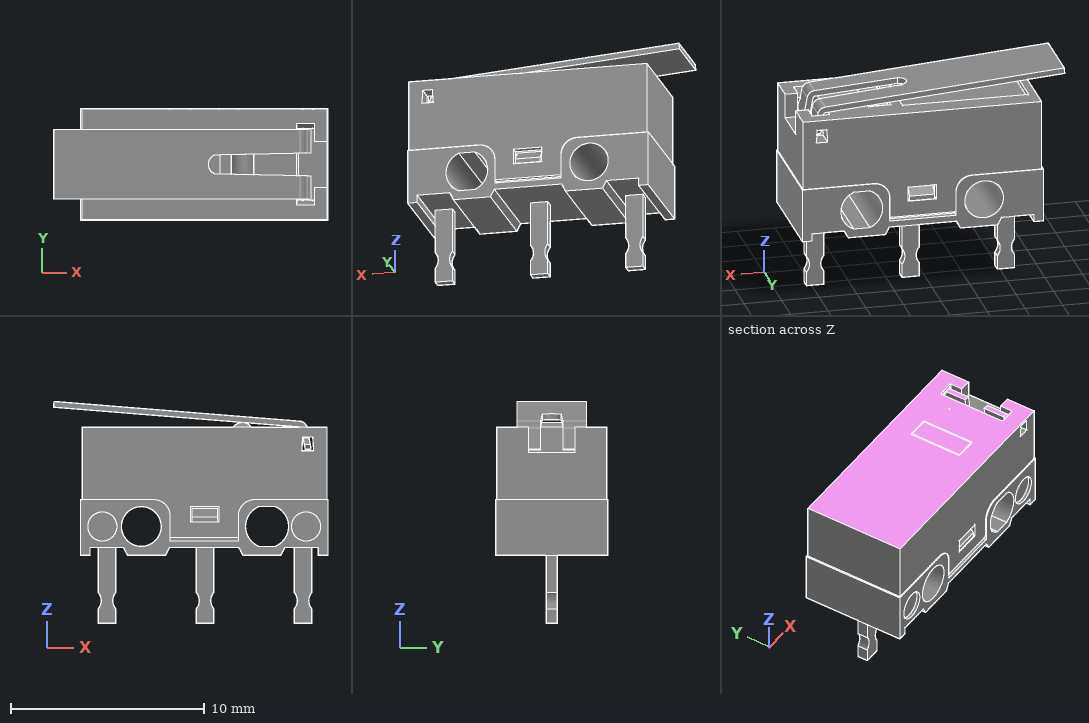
import cadquery as cq
import math


OVERALL_LENGTH = 14.21

BASE_LENGTH = 12.82
BASE_WIDTH = 5.8
BASE_TOP = 2.88
UNDERSIDE = 0.4
END_FOOT_LENGTH = 0.51
MIDDLE_FOOT_X = 2.98
MIDDLE_FOOT_TOP_LENGTH = 2.39
MIDDLE_FOOT_TIP_LENGTH = 1.98

OPENING_WIDTH = 3.52
OPENING_FLOOR = 0.74
OPENING_CORNER = 0.85
COVER_GAP = 0.18
COVER_GAP_DEPTH = 0.28

COVER_INSET_LEFT = 0.09
COVER_INSET_RIGHT = 0.04
COVER_INSET_SIDE = 0.04
COVER_TOP = 6.64

HOLE_HEIGHT = 1.49
HOLE_X = 3.25
HOLE_DIAMETER = 2.05
WIDE_HOLE_DIAMETER = 2.22
MARK_X = 5.27
MARK_DIAMETER = 1.5
MARK_DEPTH = 0.17

LATCH_X = 0.03
LATCH_BOTTOM = 1.73
LATCH_WINDOW_WIDTH = 1.49
LATCH_WINDOW_HEIGHT = 0.78
LATCH_WINDOW_DEPTH = 0.43
LATCH_WIDTH = 1.32
LATCH_HEIGHT = 0.7
LATCH_NOSE_SETBACK = 0.04
LATCH_LIP = 0.25

RECESS_LEFT = -5.9
RECESS_RIGHT = 0.81
RECESS_WIDTH = 3.44
RECESS_DEPTH = 0.27
PLUNGER_X = 1.98
PLUNGER_RADIUS = 0.57
PLUNGER_TOP = 6.88
PLUNGER_WIDTH = 2.93
PLUNGER_CROWN_WIDTH = 2.59
PLUNGER_HOLE_LENGTH = 1.2
PLUNGER_HOLE_WIDTH = 2.98
PLUNGER_HOLE_FLOOR = 6.11

POCKET_LEFT = 4.77
POCKET_DRAFT = 0.11
POCKET_RIGHT = 5.7
POCKET_FLOOR = 5.33
POCKET_WIDTH = 3.7
POCKET_MOUTH_WIDTH = 4.2
HINGE_WINDOW_BOTTOM = 5.41
HINGE_WINDOW_TOP = 6.11
HINGE_WINDOW_X = 5.36
HINGE_WINDOW_TOP_LENGTH = 0.51
HINGE_WINDOW_BOTTOM_LENGTH = 0.6
END_SLOT_WIDTH = 2.39

LEVER_ANGLE = 4.6
LEVER_WIDTH = 3.61
LEVER_THICKNESS = 0.31
LEVER_CORNER_X = 5.27
LEVER_CORNER_Z = 6.92
TAB_LEAN = 10.6
TAB_LENGTH = 1.45
BEND_RADIUS = 0.43
FORK_TIP_X = 0.21
FORK_START_X = 0.55
FORK_START_WIDTH = 0.98
FORK_END_WIDTH = 1.2
FORK_CUT_HEIGHT = 2.84
EAR_TOP = 6.08
EAR_RIDGE = 5.74
EAR_BOTTOM = 5.5
EAR_REACH = 0.17

TERMINAL_X = 0.04
TERMINAL_PITCH = 5.07
TERMINAL_WIDTH = 0.92
TERMINAL_THICKNESS = 0.58
TERMINAL_BOTTOM = -3.52
NECK_Z = -2.35
NECK_HEIGHT = 0.87
NECK_DEPTH = 0.15

EMBED = 0.14

HALF_LENGTH = BASE_LENGTH / 2
COVER_LEFT = -HALF_LENGTH + COVER_INSET_LEFT
COVER_RIGHT = HALF_LENGTH - COVER_INSET_RIGHT
COVER_HALF_WIDTH = BASE_WIDTH / 2 - COVER_INSET_SIDE


def block(x_range, y_range, z_range):
    """Box between the given limits."""
    lengths = [high - low for low, high in (x_range, y_range, z_range)]
    corner = (x_range[0], y_range[0], z_range[0])
    return cq.Workplane("XY").box(*lengths, centered=False).translate(corner)


def across(sketch, width):
    """Extrude an XZ outline to a width centred on Y = 0."""
    return sketch.extrude(width / 2, both=True)


def foot_relief(left, right):
    """Cutter for the raised floor between two feet; each side is an (X at Z = 0, X at the floor) pair."""
    outline = [(left[0], 0), (left[1], UNDERSIDE), (right[1], UNDERSIDE), (right[0], 0)]
    return across(cq.Workplane("XZ").polyline(outline).close(), BASE_WIDTH)


def make_base():
    base = block((-HALF_LENGTH, HALF_LENGTH), (-BASE_WIDTH / 2, BASE_WIDTH / 2), (0, BASE_TOP))

    tip, root = MIDDLE_FOOT_TIP_LENGTH / 2, MIDDLE_FOOT_TOP_LENGTH / 2
    foot_inner = (MIDDLE_FOOT_X - tip, MIDDLE_FOOT_X - root)
    foot_outer = (MIDDLE_FOOT_X + tip, MIDDLE_FOOT_X + root)
    end_foot = (HALF_LENGTH - END_FOOT_LENGTH, HALF_LENGTH - END_FOOT_LENGTH)
    mirrored_inner = (-foot_inner[0], -foot_inner[1])
    middle_relief = foot_relief(mirrored_inner, foot_inner)
    outer_relief = foot_relief(foot_outer, end_foot)
    base = base.cut(middle_relief).cut(outer_relief).cut(outer_relief.mirror("YZ"))

    half = OPENING_WIDTH / 2
    shoulder = BASE_TOP - OPENING_CORNER
    opening = (
        cq.Workplane("XZ")
        .moveTo(-half, OPENING_FLOOR)
        .lineTo(half, OPENING_FLOOR)
        .lineTo(half, shoulder)
        .radiusArc((half + OPENING_CORNER, BASE_TOP), OPENING_CORNER)
        .lineTo(-half - OPENING_CORNER, BASE_TOP)
        .radiusArc((-half, shoulder), OPENING_CORNER)
        .close()
    )
    return base.cut(across(opening, BASE_WIDTH))


def make_cover():
    cover = block(
        (COVER_LEFT, COVER_RIGHT), (-COVER_HALF_WIDTH, COVER_HALF_WIDTH), (OPENING_FLOOR, COVER_TOP)
    )
    gap = block(
        (-OPENING_WIDTH / 2, OPENING_WIDTH / 2),
        (COVER_HALF_WIDTH - COVER_GAP_DEPTH, COVER_HALF_WIDTH),
        (OPENING_FLOOR, OPENING_FLOOR + COVER_GAP),
    )
    return cover.cut(gap).cut(gap.mirror("XZ"))


def make_mounting_holes():
    round_hole = across(
        cq.Workplane("XZ").center(-HOLE_X, HOLE_HEIGHT).circle(HOLE_DIAMETER / 2), BASE_WIDTH
    )
    wide_hole = across(
        cq.Workplane("XZ").center(HOLE_X, HOLE_HEIGHT).circle(WIDE_HOLE_DIAMETER / 2), BASE_WIDTH
    )
    flats = across(
        cq.Workplane("XZ").center(HOLE_X, HOLE_HEIGHT).rect(WIDE_HOLE_DIAMETER, HOLE_DIAMETER), BASE_WIDTH
    )
    return round_hole.union(wide_hole.intersect(flats))


def make_round_marks():
    """Shallow round recesses near both ends of the front face."""
    return (
        cq.Workplane("XZ", origin=(0, -BASE_WIDTH / 2, HOLE_HEIGHT))
        .pushPoints([(-MARK_X, 0), (MARK_X, 0)])
        .circle(MARK_DIAMETER / 2)
        .extrude(-MARK_DEPTH)
    )


def make_latch_window():
    """Pocket in the front cover face, less the ramped latch nose inside it."""
    half = LATCH_WINDOW_WIDTH / 2
    back = -COVER_HALF_WIDTH + LATCH_WINDOW_DEPTH
    pocket = block(
        (LATCH_X - half, LATCH_X + half),
        (-COVER_HALF_WIDTH, back),
        (LATCH_BOTTOM, LATCH_BOTTOM + LATCH_WINDOW_HEIGHT),
    )
    face = -COVER_HALF_WIDTH + LATCH_NOSE_SETBACK
    nose = (
        cq.Workplane("YZ", origin=(LATCH_X, 0, LATCH_BOTTOM))
        .polyline([
            (face, 0),
            (face, LATCH_LIP),
            (back, LATCH_HEIGHT),
            (back, 0),
        ])
        .close()
        .extrude(LATCH_WIDTH / 2, both=True)
    )
    return pocket.cut(nose)


def make_hinge_pocket():
    half = POCKET_WIDTH / 2
    mouth = POCKET_MOUTH_WIDTH / 2
    across_outline = (
        cq.Workplane("YZ")
        .polyline([
            (-half, POCKET_FLOOR),
            (half, POCKET_FLOOR),
            (half, HINGE_WINDOW_TOP),
            (mouth, COVER_TOP),
            (-mouth, COVER_TOP),
            (-half, HINGE_WINDOW_TOP),
        ])
        .close()
        .extrude(POCKET_RIGHT)
    )
    along_outline = across(
        cq.Workplane("XZ")
        .polyline([
            (POCKET_LEFT, COVER_TOP),
            (POCKET_LEFT + POCKET_DRAFT, POCKET_FLOOR),
            (POCKET_RIGHT, POCKET_FLOOR),
            (POCKET_RIGHT, COVER_TOP),
        ])
        .close(),
        BASE_WIDTH,
    )
    end_slot = block(
        (POCKET_RIGHT, COVER_RIGHT), (-END_SLOT_WIDTH / 2, END_SLOT_WIDTH / 2), (POCKET_FLOOR, COVER_TOP)
    )
    top_half, bottom_half = HINGE_WINDOW_TOP_LENGTH / 2, HINGE_WINDOW_BOTTOM_LENGTH / 2
    side_windows = across(
        cq.Workplane("XZ")
        .polyline([
            (HINGE_WINDOW_X - bottom_half, HINGE_WINDOW_BOTTOM),
            (HINGE_WINDOW_X + bottom_half, HINGE_WINDOW_BOTTOM),
            (HINGE_WINDOW_X + top_half, HINGE_WINDOW_TOP),
            (HINGE_WINDOW_X - top_half, HINGE_WINDOW_TOP),
        ])
        .close(),
        BASE_WIDTH,
    )
    return across_outline.intersect(along_outline).union(end_slot).union(side_windows)


def make_top_cuts():
    """Shallow recess under the lever and the hole around the plunger."""
    recess = block(
        (RECESS_LEFT, RECESS_RIGHT),
        (-RECESS_WIDTH / 2, RECESS_WIDTH / 2),
        (COVER_TOP - RECESS_DEPTH, COVER_TOP),
    )
    half_length, half_width = PLUNGER_HOLE_LENGTH / 2, PLUNGER_HOLE_WIDTH / 2
    hole = block(
        (PLUNGER_X - half_length, PLUNGER_X + half_length),
        (-half_width, half_width),
        (PLUNGER_HOLE_FLOOR, COVER_TOP),
    )
    return recess.union(hole)


def make_plunger():
    """Round-topped bar whose crown narrows toward the top at both ends."""
    bottom = PLUNGER_HOLE_FLOOR - EMBED
    shoulder = PLUNGER_TOP - PLUNGER_RADIUS
    bar = across(
        cq.Workplane("XZ", origin=(PLUNGER_X, 0, 0))
        .moveTo(-PLUNGER_RADIUS, bottom)
        .lineTo(-PLUNGER_RADIUS, shoulder)
        .threePointArc((0, PLUNGER_TOP), (PLUNGER_RADIUS, shoulder))
        .lineTo(PLUNGER_RADIUS, bottom)
        .close(),
        PLUNGER_WIDTH,
    )
    half, crown = PLUNGER_WIDTH / 2, PLUNGER_CROWN_WIDTH / 2
    end_shape = (
        cq.Workplane("YZ", origin=(PLUNGER_X, 0, 0))
        .polyline([
            (-half, bottom),
            (half, bottom),
            (half, COVER_TOP),
            (crown, PLUNGER_TOP),
            (-crown, PLUNGER_TOP),
            (-half, COVER_TOP),
        ])
        .close()
        .extrude(PLUNGER_RADIUS, both=True)
    )
    return bar.intersect(end_shape)


def lever_strip(width):
    """Bent strip of the given width, placed at its working angle."""
    lean = math.radians(TAB_LEAN + LEVER_ANGLE)
    slope = math.radians(LEVER_ANGLE)
    reach = LEVER_CORNER_X - HALF_LENGTH + OVERALL_LENGTH
    length = (reach - LEVER_THICKNESS * math.sin(slope)) / math.cos(slope)
    inner_back = LEVER_THICKNESS * math.tan(math.pi / 4 - lean / 2)
    tab_end = (TAB_LENGTH * math.sin(lean), -TAB_LENGTH * math.cos(lean))
    tab_inner_end = (
        tab_end[0] - LEVER_THICKNESS * math.cos(lean),
        tab_end[1] - LEVER_THICKNESS * math.sin(lean),
    )
    strip = across(
        cq.Workplane("XZ")
        .polyline([
            (-length, 0),
            (0, 0),
            tab_end,
            tab_inner_end,
            (-inner_back, -LEVER_THICKNESS),
            (-length, -LEVER_THICKNESS),
        ])
        .close(),
        width,
    )
    outer_edge = cq.selectors.NearestToPointSelector((0, 0, 0))
    strip = strip.edges(outer_edge).fillet(BEND_RADIUS)
    inner_edge = cq.selectors.NearestToPointSelector((-inner_back, 0, -LEVER_THICKNESS))
    strip = strip.edges(inner_edge).fillet(BEND_RADIUS - LEVER_THICKNESS)
    strip = strip.rotate((0, 0, 0), (0, 1, 0), LEVER_ANGLE)
    return strip.translate((LEVER_CORNER_X, 0, LEVER_CORNER_Z))


def make_lever():
    lever = lever_strip(LEVER_WIDTH)

    start, end = FORK_START_WIDTH / 2, FORK_END_WIDTH / 2
    fork = (
        cq.Workplane("XY", origin=(0, 0, POCKET_FLOOR))
        .moveTo(FORK_START_X, start)
        .threePointArc((FORK_TIP_X, 0), (FORK_START_X, -start))
        .lineTo(POCKET_RIGHT, -end)
        .lineTo(POCKET_RIGHT, end)
        .close()
        .extrude(FORK_CUT_HEIGHT)
    )
    lever = lever.cut(fork)

    half = LEVER_WIDTH / 2
    wedge = (
        cq.Workplane("YZ", origin=(POCKET_LEFT, 0, 0))
        .polyline([
            (half - EMBED, EAR_TOP),
            (half, EAR_TOP),
            (half + EAR_REACH, EAR_RIDGE),
            (half, EAR_BOTTOM),
            (half - EMBED, EAR_BOTTOM),
        ])
        .close()
        .extrude(POCKET_RIGHT - POCKET_LEFT)
    )
    ear = lever_strip(LEVER_WIDTH + 2 * EAR_REACH).intersect(wedge)
    return lever.union(ear).union(ear.mirror("XZ"))


def make_terminal(x):
    half = TERMINAL_WIDTH / 2
    neck = half - NECK_DEPTH
    top = UNDERSIDE + EMBED
    neck_bottom, neck_top = NECK_Z - NECK_HEIGHT / 2, NECK_Z + NECK_HEIGHT / 2
    return across(
        cq.Workplane("XZ", origin=(x, 0, 0))
        .moveTo(-half, TERMINAL_BOTTOM)
        .lineTo(half, TERMINAL_BOTTOM)
        .lineTo(half, neck_bottom)
        .threePointArc((neck, NECK_Z), (half, neck_top))
        .lineTo(half, top)
        .lineTo(-half, top)
        .lineTo(-half, neck_top)
        .threePointArc((-neck, NECK_Z), (-half, neck_bottom))
        .close(),
        TERMINAL_THICKNESS,
    )


result = make_base().union(make_cover())
result = result.cut(make_mounting_holes())
result = result.cut(make_round_marks())
latch_window = make_latch_window()
result = result.cut(latch_window).cut(latch_window.mirror("XZ"))
result = result.cut(make_hinge_pocket())
result = result.cut(make_top_cuts())
for step in (-1, 0, 1):
    result = result.union(make_terminal(TERMINAL_X + step * TERMINAL_PITCH))
result = result.union(make_plunger())
result = result.union(make_lever())